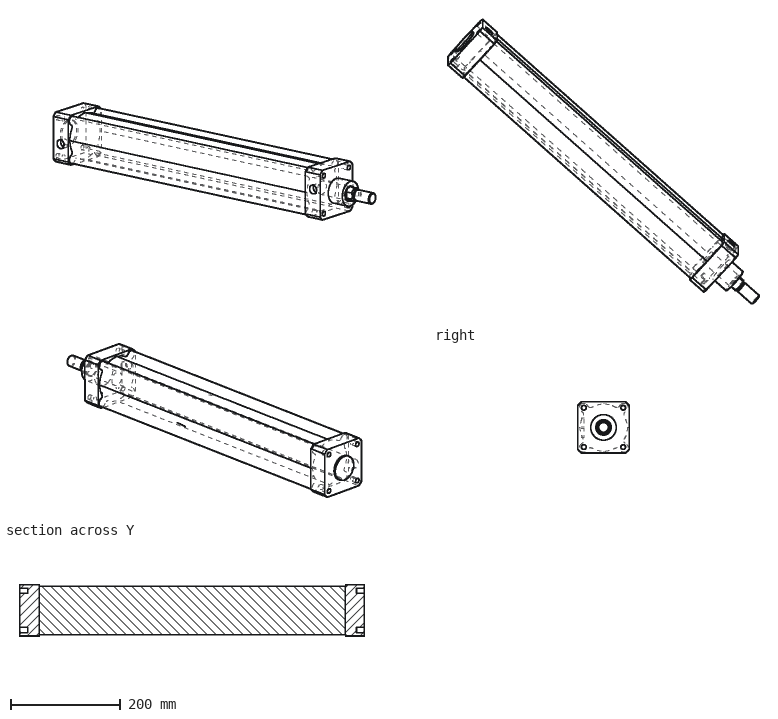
import cadquery as cq
import math

overall_length = 718.0
rear_cap_start = 3.5
rear_cap_end = 39.5
front_cap_start = 598.0
front_cap_end = 632.5
boss_end = 665.5
collar_end = 678.0
relief_start = 680.0
thread_start = 682.0

cap_width = 94.0
cap_corner_diameter = 123.5
boss_diameter = 47.0
tie_spacing = 72.0
tie_hole_diameter = 8.5
tie_hole_depth = 14.5
port_diameter = 16.5
port_depth = 11.0
port_offset = 9.0
rear_port_x = 21.0
front_port_x = 616.0

lobe_center = 36.5
lobe_radius = 8.0
lobe_wall_length = 8.0
ridge_height = 44.0
ridge_slope = 12.0
ridge_half_width = 10.0
shoulder_radius = 42.5
shoulder_middle_slope = 21.0
shoulder_end_slope = 30.0

rod_diameter = 25.0
flat_spacing = 22.0
relief_diameter = 19.5
thread_diameter = 21.0
thread_chamfer = 1.5
wiper_diameter = 28.0
wiper_depth = 2.0


def cylinder(diameter, start, end):
    """Cylinder on the X axis between two positions."""
    return cq.Workplane("YZ", origin=(start, 0, 0)).circle(diameter / 2).extrude(end - start)


def cap_block(start, end):
    """Square block whose corners are rounded about the cylinder axis."""
    block = cq.Workplane("YZ", origin=(start, 0, 0)).rect(cap_width, cap_width).extrude(end - start)
    return block.intersect(cylinder(cap_corner_diameter, start, end))


def tie_holes(start):
    """Four blind tie rod holes that run toward +X from the given position."""
    corners = (
        cq.Workplane("YZ", origin=(start, 0, 0))
        .rect(tie_spacing, tie_spacing, forConstruction=True)
        .vertices()
    )
    return corners.circle(tie_hole_diameter / 2).extrude(tie_hole_depth)


def port_hole(x, z):
    """Blind air port in the -Y side of a cap."""
    plane = cq.Workplane("XZ", origin=(x, -cap_width / 2, z))
    return plane.circle(port_diameter / 2).extrude(-port_depth)


def make_rear_cap():
    block = cap_block(rear_cap_start, rear_cap_end)
    boss = cylinder(boss_diameter, 0, rear_cap_start)
    port = port_hole(rear_port_x, -port_offset)
    return block.union(boss).cut(tie_holes(rear_cap_start)).cut(port)


def make_front_cap():
    block = cap_block(front_cap_start, front_cap_end)
    boss = cylinder(boss_diameter, front_cap_end, boss_end)
    port = port_hole(front_port_x, port_offset)
    rod_bore = cylinder(rod_diameter, front_cap_start, boss_end)
    wiper_recess = cylinder(wiper_diameter, boss_end - wiper_depth, boss_end)
    cap = block.union(boss).cut(tie_holes(front_cap_end - tie_hole_depth)).cut(port)
    return cap.cut(rod_bore).cut(wiper_recess)


def turned(point, angle):
    """Turn a (y, z) point or direction about the X axis by an angle in degrees."""
    c = math.cos(math.radians(angle))
    s = math.sin(math.radians(angle))
    return (point[0] * c - point[1] * s, point[0] * s + point[1] * c)


def mirrored(point):
    """Mirror a (y, z) point or direction across the diagonal through the (-Y, +Z) lobe."""
    return (-point[1], -point[0])


def half_side():
    """Points from the ridge flank down into the valley and out to the lobe, for the +Z side."""
    flank_slope = math.radians(ridge_slope)
    flank_end = (-ridge_half_width, ridge_height - ridge_half_width * math.tan(flank_slope))

    center_y = flank_end[0] + shoulder_radius * math.sin(flank_slope)
    center_z = flank_end[1] - shoulder_radius * math.cos(flank_slope)
    shoulder = [
        (center_y - shoulder_radius * math.sin(slope), center_z + shoulder_radius * math.cos(slope))
        for slope in (math.radians(shoulder_middle_slope), math.radians(shoulder_end_slope))
    ]

    tangent_offset = lobe_radius * math.sqrt(0.5)
    wall_reach = lobe_wall_length * math.sqrt(0.5)
    wall_end = (-lobe_center + tangent_offset, lobe_center + tangent_offset)
    wall_start = (wall_end[0] + wall_reach, wall_end[1] - wall_reach)
    return [flank_end, *shoulder, wall_start, wall_end]


def make_tube():
    points = half_side()
    flank_direction = (-1, -math.tan(math.radians(ridge_slope)))
    wall_direction = (-1, 1)
    lobe_reach = lobe_center + lobe_radius * math.sqrt(0.5)
    lobe_tip = (-lobe_reach, lobe_reach)
    next_ridge = (-ridge_height, 0)

    outline = cq.Workplane("YZ", origin=(rear_cap_end, 0, 0)).moveTo(0, ridge_height)
    for angle in (0, 90, 180, 270):
        outgoing = [turned(p, angle) for p in points]
        returning = [turned(mirrored(p), angle) for p in reversed(points)]
        wall_back = turned(mirrored((1, -1)), angle)
        flank_back = turned(mirrored((-flank_direction[0], -flank_direction[1])), angle)
        outline = (
            outline.lineTo(*outgoing[0])
            .spline(
                outgoing[1:],
                tangents=[turned(flank_direction, angle), turned(wall_direction, angle)],
                includeCurrent=True,
            )
            .threePointArc(turned(lobe_tip, angle), returning[0])
            .spline(returning[1:], tangents=[wall_back, flank_back], includeCurrent=True)
            .lineTo(*turned(next_ridge, angle))
        )
    return outline.close().extrude(front_cap_start - rear_cap_end)


def make_rod():
    rod_radius = rod_diameter / 2
    relief_radius = relief_diameter / 2
    thread_radius = thread_diameter / 2
    profile = (
        cq.Workplane("XY")
        .moveTo(front_cap_start, 0)
        .lineTo(front_cap_start, rod_radius)
        .lineTo(collar_end, rod_radius)
        .lineTo(relief_start, relief_radius)
        .lineTo(thread_start, relief_radius)
        .lineTo(thread_start, thread_radius)
        .lineTo(overall_length - thread_chamfer, thread_radius)
        .lineTo(overall_length, thread_radius - thread_chamfer)
        .lineTo(overall_length, 0)
        .close()
    )
    rod = profile.revolve(360, (0, 0, 0), (1, 0, 0))

    flat_length = thread_start - boss_end
    flat_middle = (boss_end + thread_start) / 2
    for side in (-1, 1):
        waste_y = side * (flat_spacing + rod_diameter) / 2
        waste = cq.Workplane("XY").box(flat_length, rod_diameter, rod_diameter)
        rod = rod.cut(waste.translate((flat_middle, waste_y, 0)))
    return rod


rear_cap = make_rear_cap()
tube = make_tube()
front_cap = make_front_cap()
rod = make_rod()

result = cq.Compound.makeCompound([rear_cap.val(), tube.val(), front_cap.val(), rod.val()])